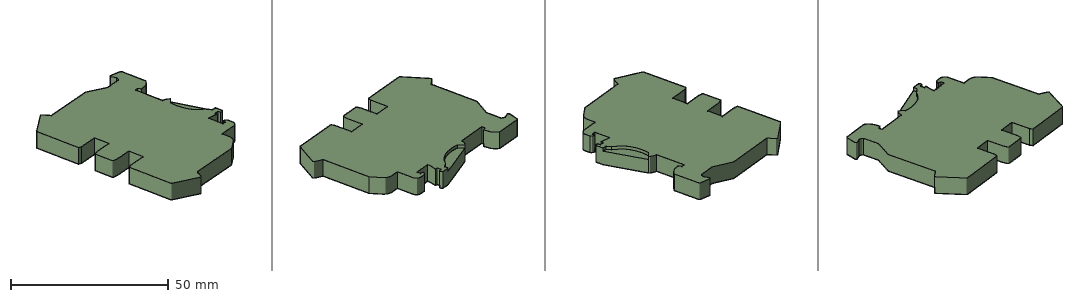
import cadquery as cq
import math

thickness = 6.15
height = 45.9
foot_half_width = 31.8
body_half_width = 29.0
deck_y = 39.4
shoulder_y = 28.85
right_step_y = 34.25

foot_tip_y = 8.85
foot_tip_round = 0.6
foot_flank_angle = 60.0
foot_bottom_round = 0.6
tooth_round = 0.3
slot_inner_x = 3.95
slot_outer_x = 9.65
slot_depth = 7.9
slot_mouth_flare = 0.4
slot_inner_flare_height = 1.9
slot_outer_flare_height = 1.1

neck_x = -25.15
neck_bottom_y = 35.35
neck_round = 1.0
head_notch_x = -17.15
lever_foot = (-6.4, deck_y)
lever_heel = (-4.95, 41.75)
lever_tip = (9.8, height)
hook_inner_x = 17.6
hook_outer_x = 21.15
hook_top_y = 42.2
recess_depth = 1.15

foot_tip_center_x = foot_half_width - foot_tip_round
flank_sin = math.sin(math.radians(foot_flank_angle))
flank_cos = math.cos(math.radians(foot_flank_angle))
tip_low = (foot_tip_center_x + foot_tip_round * flank_sin, foot_tip_y - foot_tip_round * flank_cos)
tip_mid = (foot_half_width, foot_tip_y)
tip_high = (foot_tip_center_x + foot_tip_round * flank_cos, foot_tip_y + foot_tip_round * flank_sin)
foot_bottom_half_width = tip_low[0] - tip_low[1] * flank_cos / flank_sin
foot_top_y = tip_high[1] + (tip_high[0] - body_half_width) * flank_cos / flank_sin


def mirrored(point):
    """Reflect a point to the left half."""
    x, y = point
    return -x, y


def make_plate():
    """Extrude the outline, running clockwise from the left foot."""
    outline = (
        cq.Workplane("XY")
        .moveTo(-foot_bottom_half_width, 0)
        .lineTo(*mirrored(tip_low))
        .threePointArc(mirrored(tip_mid), mirrored(tip_high))
        .lineTo(-body_half_width, foot_top_y)
        .lineTo(-body_half_width, shoulder_y)
        .lineTo(neck_x, neck_bottom_y)
        .lineTo(neck_x, 41.05)
        .threePointArc((-25.75, 41.55), (-26.5, 41.8))
        .lineTo(-28.2, 41.3)
        .threePointArc((-28.7, 41.45), (-28.8, 41.95))
        .lineTo(-27.9, 45.25)
        .threePointArc((-27.7, 45.7), (-27.25, height))
        .lineTo(-17.9, height)
        .threePointArc((-16.85, 44.7), (-16.2, 43.3))
        .lineTo(-15.95, 41.0)
        .lineTo(head_notch_x, 40.6)
        .lineTo(head_notch_x, deck_y)
        .lineTo(*lever_foot)
        .threePointArc((-5.85, 40.8), lever_heel)
        .lineTo(*lever_tip)
        .lineTo(12.5, height)
        .threePointArc((12.9, 45.3), (12.65, 44.6))
        .lineTo(11.75, 44.6)
        .lineTo(11.75, 43.0)
        .lineTo(12.65, 43.0)
        .lineTo(11.95, 40.2)
        .lineTo(11.95, deck_y)
        .lineTo(hook_inner_x, deck_y)
        .lineTo(hook_inner_x, 40.7)
        .lineTo(16.5, 40.9)
        .threePointArc((16.85, 41.7), (17.55, hook_top_y))
        .lineTo(19.5, hook_top_y)
        .threePointArc((20.65, 41.6), (hook_outer_x, 40.5))
        .lineTo(hook_outer_x, right_step_y)
        .lineTo(23.9, right_step_y)
        .threePointArc((25.6, 33.8), (26.8, 32.6))
        .lineTo(body_half_width, shoulder_y)
        .lineTo(body_half_width, foot_top_y)
        .lineTo(*tip_high)
        .threePointArc(tip_mid, tip_low)
        .lineTo(foot_bottom_half_width, 0)
        .close()
    )
    return outline.extrude(thickness)


def make_slot(side):
    """Rail slot with a flared mouth; side is -1 for left, 1 for right."""
    points = [
        (slot_inner_x - slot_mouth_flare, 0),
        (slot_inner_x, slot_inner_flare_height),
        (slot_inner_x, slot_depth),
        (slot_outer_x, slot_depth),
        (slot_outer_x, slot_outer_flare_height),
        (slot_outer_x + slot_mouth_flare, 0),
    ]
    return cq.Workplane("XY").polyline([(side * x, y) for x, y in points]).close().extrude(thickness)


def make_lever_recess():
    """Shallow scoop in the upper face, open along the lever's sloping edge."""
    return (
        cq.Workplane("XY", origin=(0, 0, thickness - recess_depth))
        .moveTo(*lever_heel)
        .lineTo(-3.55, 39.85)
        .threePointArc((1.15, 39.65), (5.8, 41.3))
        .lineTo(8.1, 43.6)
        .lineTo(9.65, 44.35)
        .lineTo(*lever_tip)
        .close()
        .extrude(recess_depth)
    )


def round_corners(body, points, radius):
    """Round the upright edges of the body at the given outline points."""
    for x, y in points:
        corner = cq.selectors.NearestToPointSelector((x, y, thickness / 2))
        body = body.edges("|Z").edges(corner).fillet(radius)
    return body


plate = make_plate()
for side in (-1, 1):
    plate = plate.cut(make_slot(side))

foot_corner = (foot_bottom_half_width, 0)
tooth_corner = (slot_inner_x - slot_mouth_flare, 0)
neck_corners = [(neck_x, neck_bottom_y), (-body_half_width, shoulder_y)]
plate = round_corners(plate, [foot_corner, mirrored(foot_corner)], foot_bottom_round)
plate = round_corners(plate, [tooth_corner, mirrored(tooth_corner)], tooth_round)
plate = round_corners(plate, neck_corners, neck_round)

result = plate.cut(make_lever_recess())